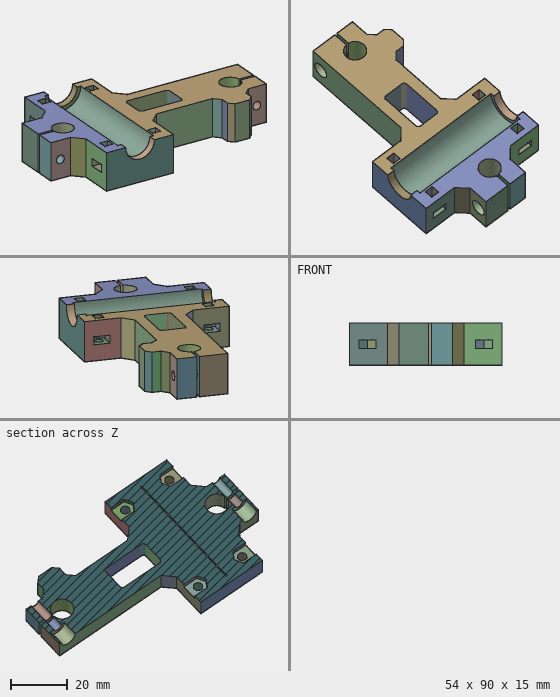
import cadquery as cq
import math

length = 90.0
thickness = 15.0
mid_height = thickness / 2

block_width = 54.0
block_near = 12.15
block_far = 40.1
block_middle = (block_near + block_far) / 2

arm_width = 19.0
arm_side = arm_width / 2
corner_leg = 4.0

boss_reach = 7.9
boss_width = 10.0
boss_middle = 75.0
boss_root_leg = 2.5
boss_tip_leg = 2.0

window_width = 10.0
window_length = 18.0
window_radius = 1.3

seat_diameter = 15.0
seat_length = 48.0
shaft_diameter = 12.0

rod_diameter = 8.1
rod_x = 1.5
rod_inset = 10.0
gap_width = 1.0
bolt_diameter = 3.2
bolt_inset = 4.0
bolt_head_diameter = 6.1
bolt_head_depth = 6.0

screw_diameter = 3.2
screw_square = 3.2
screw_x = 20.5
screw_spacing_y = 20.0
nut_width = 6.0
nut_height = 3.0
hex_half_angle = math.radians(30)


def box_between(x_range, y_range, z_range):
    """Box given by its limits along each axis."""
    sizes = [high - low for low, high in (x_range, y_range, z_range)]
    corner = (x_range[0], y_range[0], z_range[0])
    return cq.Workplane("XY").box(*sizes, centered=False).translate(corner)


def rod_along_x(diameter, x_start, x_end, y, z):
    """Cylinder parallel to X."""
    return (
        cq.Workplane("YZ", origin=(x_start, y, z))
        .circle(diameter / 2)
        .extrude(x_end - x_start)
    )


def plate(points):
    """Outline in the XY plane, extruded to the full thickness."""
    return cq.Workplane("XY").polyline(points).close().extrude(thickness)


def body():
    arm = box_between((-arm_side, arm_side), (0, length), (0, thickness))
    half_block = block_width / 2
    block = box_between((-half_block, half_block), (block_near, block_far), (0, thickness))
    flare_side = arm_side + corner_leg
    flare = plate([
        (-arm_side, block_near - corner_leg),
        (arm_side, block_near - corner_leg),
        (flare_side, block_near),
        (flare_side, block_far),
        (arm_side, block_far + corner_leg),
        (-arm_side, block_far + corner_leg),
        (-flare_side, block_far),
        (-flare_side, block_near),
    ])
    return arm.union(block).union(flare).union(boss())


def boss():
    tip = arm_side + boss_reach
    half = boss_width / 2
    lower_half = [
        (0, -half - boss_root_leg),
        (arm_side, -half - boss_root_leg),
        (arm_side + boss_root_leg, -half),
        (tip - boss_tip_leg, -half),
        (tip, -half + boss_tip_leg),
    ]
    upper_half = [(x, -y) for x, y in reversed(lower_half)]
    return plate(lower_half + upper_half).translate((0, boss_middle, 0))


def window():
    return (
        cq.Workplane("XY")
        .center(0, block_far + window_length / 2)
        .rect(window_width, window_length)
        .extrude(thickness)
        .edges("|Z")
        .fillet(window_radius)
    )


def bearing_seat():
    seat = rod_along_x(seat_diameter, -seat_length / 2, seat_length / 2, block_middle, thickness)
    shaft = rod_along_x(shaft_diameter, -block_width / 2, block_width / 2, block_middle, thickness)
    return seat.union(shaft)


def rod_clamp(end_y, inward):
    """Rod hole, gap and counterbored cross bolt; inward is +1 or -1 along Y."""
    rod_y = end_y + inward * rod_inset
    bolt_y = end_y + inward * bolt_inset
    rod = cq.Workplane("XY").center(rod_x, rod_y).circle(rod_diameter / 2).extrude(thickness)
    gap = box_between(
        (rod_x - gap_width / 2, rod_x + gap_width / 2),
        (min(end_y, rod_y), max(end_y, rod_y)),
        (0, thickness),
    )
    bolt = rod_along_x(bolt_diameter, -arm_side, arm_side, bolt_y, mid_height)
    head = rod_along_x(bolt_head_diameter, -arm_side, bolt_head_depth - arm_side, bolt_y, mid_height)
    return rod.union(gap).union(bolt).union(head)


def corner_screw(x, outward):
    """Screw hole, square above the nut, and nut slot open along Y towards outward (+1 or -1)."""
    y = block_middle + outward * screw_spacing_y / 2
    face_y = block_far if outward > 0 else block_near
    half_nut = nut_width / 2
    flat_end = half_nut * math.tan(hex_half_angle)
    point = half_nut / math.cos(hex_half_angle)
    slot = (
        cq.Workplane("XY", origin=(x, 0, mid_height - nut_height / 2))
        .polyline([
            (-half_nut, face_y),
            (-half_nut, y - outward * flat_end),
            (0, y - outward * point),
            (half_nut, y - outward * flat_end),
            (half_nut, face_y),
        ])
        .close()
        .extrude(nut_height)
    )
    screw = cq.Workplane("XY").center(x, y).circle(screw_diameter / 2).extrude(mid_height)
    square = (
        cq.Workplane("XY", origin=(x, y, mid_height))
        .rect(screw_square, screw_square)
        .extrude(thickness - mid_height)
    )
    return slot.union(screw).union(square)


result = body().cut(window()).cut(bearing_seat())

for end_y, inward in ((0, 1), (length, -1)):
    result = result.cut(rod_clamp(end_y, inward))

for x in (-screw_x, screw_x):
    for outward in (-1, 1):
        result = result.cut(corner_screw(x, outward))